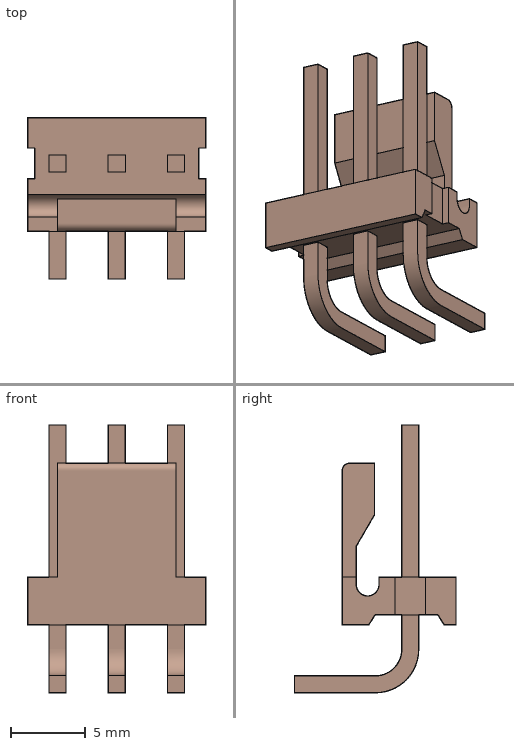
import cadquery as cq
import math


pin_count = 3
pin_pitch = 3.95
pin_size = 1.15
pin_height = 17.89
tail_reach = 7.73
bend_inner_radius = 1.75

base_width = 11.9
base_back = 3.06
base_front = -4.55
base_top = 7.73
base_underside = 5.2
foot_bottom = 4.55
back_foot_length = 0.8
front_foot_length = 1.79
foot_slant = 0.41
notch_length = 2.04
notch_depth = 0.47

wall_width = 7.93
wall_top = 15.33
wall_head_thickness = 2.16
wall_neck_thickness = 0.95
taper_top = 11.88
taper_bottom = 9.79
wall_edge_radius = 0.5
groove_width = 1.5
groove_bottom = 6.48


def extrude_across(profile, width):
    """Extrude a YZ profile by width, centred on X = 0."""
    return profile.extrude(width / 2, both=True)


def make_base():
    back_foot_edge = base_back - back_foot_length
    front_foot_edge = base_front + front_foot_length
    groove_front = base_front + wall_neck_thickness
    groove_back = groove_front + groove_width
    groove_radius = groove_width / 2
    profile = (
        cq.Workplane("YZ")
        .moveTo(base_back, base_top)
        .lineTo(base_back, foot_bottom)
        .lineTo(back_foot_edge, foot_bottom)
        .lineTo(back_foot_edge - foot_slant, base_underside)
        .lineTo(front_foot_edge + foot_slant, base_underside)
        .lineTo(front_foot_edge, foot_bottom)
        .lineTo(base_front, foot_bottom)
        .lineTo(base_front, base_top)
        .lineTo(groove_front, base_top)
        .lineTo(groove_front, groove_bottom + groove_radius)
        .threePointArc(
            (groove_front + groove_radius, groove_bottom),
            (groove_back, groove_bottom + groove_radius),
        )
        .lineTo(groove_back, base_top)
        .close()
    )
    base = extrude_across(profile, base_width)
    for side in (-1, 1):
        notch = cq.Workplane("XY").box(2 * notch_depth, notch_length, 2 * base_top)
        base = base.cut(notch.translate((side * base_width / 2, 0, base_top)))
    return base


def make_wall():
    head_back = base_front + wall_head_thickness
    neck_back = base_front + wall_neck_thickness
    round_centre_y = base_front + wall_edge_radius
    round_centre_z = wall_top - wall_edge_radius
    round_offset = wall_edge_radius * math.sqrt(0.5)
    profile = (
        cq.Workplane("YZ")
        .moveTo(base_front, base_top)
        .lineTo(base_front, round_centre_z)
        .threePointArc(
            (round_centre_y - round_offset, round_centre_z + round_offset),
            (round_centre_y, wall_top),
        )
        .lineTo(head_back, wall_top)
        .lineTo(head_back, taper_top)
        .lineTo(neck_back, taper_bottom)
        .lineTo(neck_back, base_top)
        .close()
    )
    return extrude_across(profile, wall_width)


def make_pin():
    bend_centre_y = -pin_size / 2 - bend_inner_radius
    bend_height = pin_size + bend_inner_radius
    path = (
        cq.Workplane("YZ")
        .moveTo(0, pin_height)
        .lineTo(0, bend_height)
        .radiusArc((bend_centre_y, pin_size / 2), bend_inner_radius + pin_size / 2)
        .lineTo(-tail_reach, pin_size / 2)
    )
    section = cq.Workplane("XY").workplane(offset=pin_height).rect(pin_size, pin_size)
    return section.sweep(path)


result = make_base().union(make_wall())
pin = make_pin()
for index in range(pin_count):
    pin_x = (index - (pin_count - 1) / 2) * pin_pitch
    result = result.union(pin.translate((pin_x, 0, 0)))